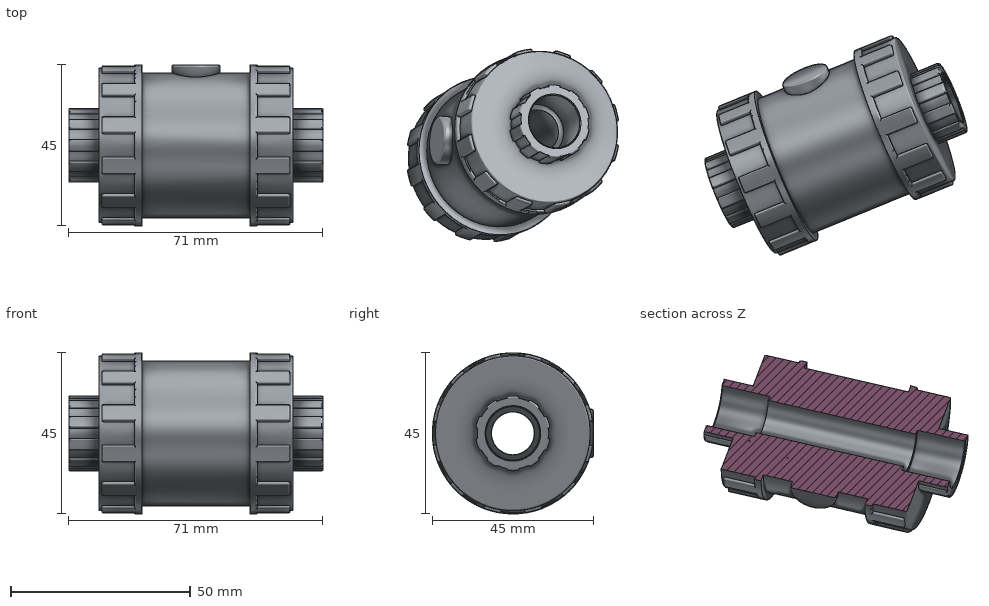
import cadquery as cq
import math

total_length = 71.0
body_diameter = 40.5

nut_outer_diameter = 45.0
nut_root_diameter = 43.2
nut_face_x = 27.1
nut_inner_x = 15.1
flange_width = 2.1
nut_edge_fillet = 0.35
grip_count = 12
grip_width = 4.8
grip_setback = 0.85
grip_fillet = 0.45

spigot_outer_diameter = 20.9
spigot_root_diameter = 19.9
spigot_rib_count = 10
spigot_rib_width = 3.4
spigot_rib_fillet = 0.47

bore_diameter = 11.96
socket_diameter = 14.95
socket_depth = 14.0
socket_mouth_diameter = 15.5

boss_diameter = 13.5
boss_top_y = nut_outer_diameter / 2
boss_fillet = 0.7

tolerance = 0.01

end_x = total_length / 2
flange_start_x = nut_inner_x + flange_width
grip_end_x = nut_face_x - grip_setback


def cylinder_x(diameter, x_start, x_end):
    """Cylinder on the X axis between two X positions."""
    return cq.Workplane("YZ").workplane(offset=x_start).circle(diameter / 2).extrude(x_end - x_start)


def radial_ribs(count, width, rib_blank, first_angle):
    """Parallel-sided ribs cut from a round blank, spaced evenly about the X axis.

    Angles are in degrees, measured from the +Z direction.
    """
    box = rib_blank.val().BoundingBox()
    bar = cq.Workplane("XY").box(box.xlen, width, box.zmax, centered=(False, True, False))
    bar = bar.translate((box.xmin, 0, 0))
    ribs = None
    for index in range(count):
        angle = first_angle + index * 360 / count
        rib = bar.rotate((0, 0, 0), (1, 0, 0), angle).intersect(rib_blank)
        ribs = rib if ribs is None else ribs.union(rib)
    return ribs


def rib_outline(solid, outer_diameter, base_x):
    """Edges around the tops of raised ribs, leaving out those that touch the plane at base_x."""

    def is_outline(edge):
        middle = edge.positionAt(0.5)
        on_outer_surface = abs(math.hypot(middle.y, middle.z) - outer_diameter / 2) < tolerance
        return on_outer_surface and edge.BoundingBox().xmin > base_x + tolerance

    return [edge for edge in solid.edges().vals() if is_outline(edge)]


def tip_corners(solid, tip_x):
    """Straight upright edges at the corners of ribs that end at tip_x."""

    def is_corner(edge):
        box = edge.BoundingBox()
        at_tip = abs(box.xmin - tip_x) < tolerance and abs(box.xmax - tip_x) < tolerance
        return at_tip and edge.geomType() == "LINE"

    return [edge for edge in solid.edges().vals() if is_corner(edge)]


def make_nut():
    """Nut with a plain flange and raised grips whose top edges are rounded."""
    root = cylinder_x(nut_root_diameter, nut_inner_x, nut_face_x)
    root = root.faces(">X").edges().fillet(nut_edge_fillet)
    flange = cylinder_x(nut_outer_diameter, nut_inner_x, flange_start_x)
    grip_blank = cylinder_x(nut_outer_diameter, nut_inner_x, grip_end_x)
    half_pitch = 180 / grip_count
    crown = flange.union(radial_ribs(grip_count, grip_width, grip_blank, half_pitch))
    nut = root.union(crown)

    rounded_edges = rib_outline(nut, nut_outer_diameter, nut_inner_x) + tip_corners(nut, grip_end_x)
    return nut.newObject(rounded_edges).fillet(grip_fillet)


def make_spigot():
    """Ribbed pipe end; the ribs have rounded top edges and free ends."""
    root = cylinder_x(spigot_root_diameter, 0, end_x)
    rib_blank = cylinder_x(spigot_outer_diameter, nut_inner_x, end_x)
    spigot = root.union(radial_ribs(spigot_rib_count, spigot_rib_width, rib_blank, first_angle=0))

    outline = rib_outline(spigot, spigot_outer_diameter, 0)
    return spigot.newObject(outline).fillet(spigot_rib_fillet)


def make_boss():
    """Round boss with a rounded rim."""
    boss = cq.Workplane("XZ").circle(boss_diameter / 2).extrude(-boss_top_y)
    return boss.faces(">Y").edges().fillet(boss_fillet)


def make_socket():
    """Pipe socket opening at the +X end, with a small lead-in chamfer."""
    lead_in = (socket_mouth_diameter - socket_diameter) / 2
    profile = [
        (end_x - socket_depth, 0),
        (end_x - socket_depth, socket_diameter / 2),
        (end_x - lead_in, socket_diameter / 2),
        (end_x, socket_mouth_diameter / 2),
        (end_x, 0),
    ]
    return cq.Workplane("XY").polyline(profile).close().revolve(360, (0, 0, 0), (1, 0, 0))


body = cylinder_x(body_diameter, -nut_inner_x, nut_inner_x).union(make_boss())
end_fitting = make_nut().union(make_spigot())
socket = make_socket()

result = body.union(end_fitting).union(end_fitting.mirror("YZ"))
result = result.cut(cylinder_x(bore_diameter, -end_x, end_x))
result = result.cut(socket).cut(socket.mirror("YZ"))